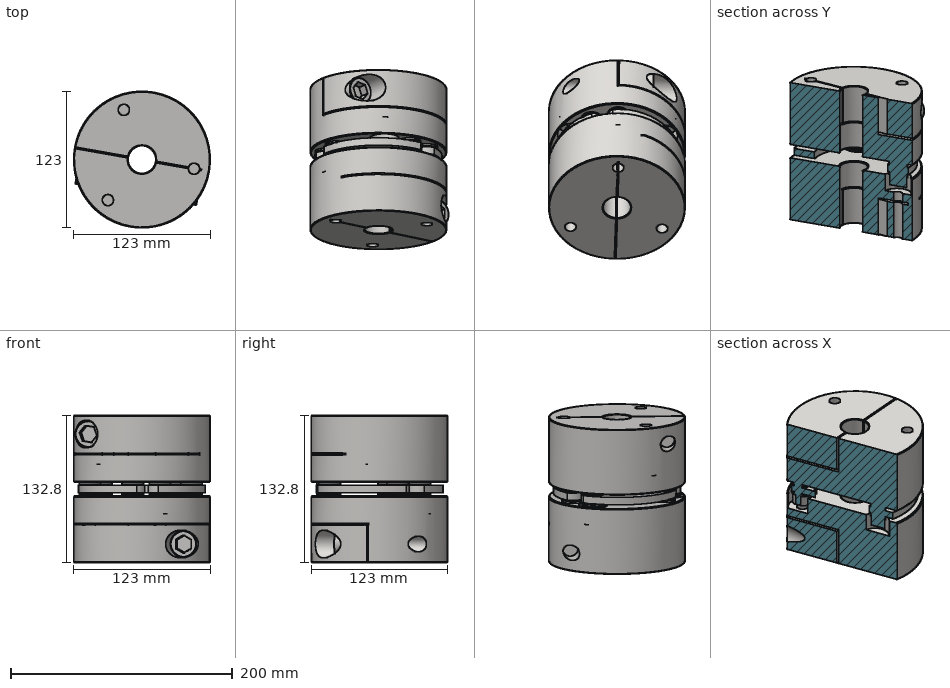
import cadquery as cq
import math

total_length = 132.8
hub_length = 60.1
hub_radius = 123.0 / 2
outer_end_chamfer = 0.7
inner_end_chamfer = 0.9
clocking = -10.0
mid_height = total_length / 2
hub_inner_face = total_length - hub_length

bore_radius = 12.5

bolt_circle = 47.7
bolt_count = 3
pitch = 360.0 / bolt_count
access_hole_radius = 5.0
head_pocket_radius = 12.9
head_pocket_depth = 15.9

slit_width = 1.5
radial_slit_end = 54.2
cross_slit_end = 56.7
cross_slit_depth = 34.8

screw_offset = 43.5
screw_depth = 16.9
screw_head_radius = 12.0
screw_head_face = 32.0
screw_head_seat = 15.9
screw_tip = 23.9
screw_head_chamfer = 0.5
screw_radius = 14.0 / 2
counterbore_radius = 12.5
socket_across_flats = 14.1
socket_depth = 9.3
upper_socket_turn = 20.0
lower_socket_turn = 0.0

link_thickness = 6.9
link_outer_radius = 57.3
link_end_radius = 10.8
link_inner_radius = bolt_circle - link_end_radius
link_span = 90.0
first_link_start = -60.0
collar_radius = 19.5 / 2
collar_height = (total_length - 2 * hub_length - link_thickness) / 2
collar_taper_height = 1.0
collar_taper = 0.4
bolt_head_radius = 9.0
bolt_head_depth = 10.0


def polar(radius, angle):
    """XY position at a radius and an angle in degrees."""
    return (radius * math.cos(math.radians(angle)), radius * math.sin(math.radians(angle)))


def cylinder(radius, bottom, top, position=(0, 0)):
    """Vertical cylinder between two heights."""
    return cq.Workplane("XY", origin=(*position, bottom)).circle(radius).extrude(top - bottom)


def block(x_range, y_range, z_range):
    """Axis-aligned block given by its three ranges."""
    ranges = (x_range, y_range, z_range)
    sizes = [high - low for low, high in ranges]
    corner = tuple(low for low, high in ranges)
    return cq.Workplane("XY").box(*sizes, centered=False).translate(corner)


def along_screw(start, end):
    """Workplane on the screw axis at y = start, and the signed depth that reaches y = end."""
    origin = (-screw_offset, start, total_length - screw_depth)
    return cq.Workplane("XZ", origin=origin), start - end


def screw_cylinder(radius, start, end):
    plane, depth = along_screw(start, end)
    return plane.circle(radius).extrude(depth)


def clamp_slits():
    """Radial slit down to the cross slit, which frees one half of the hub (y < 0)."""
    half = slit_width / 2
    cross_height = total_length - cross_slit_depth
    beyond = 2 * hub_radius
    radial = block((-beyond, radial_slit_end), (-half, half), (cross_height, total_length))
    cross = block((-beyond, cross_slit_end), (-beyond, half), (cross_height - half, cross_height + half))
    return radial.union(cross)


def clamp_screw(socket_turn):
    """Hexagon socket head screw."""
    head = screw_cylinder(screw_head_radius, -screw_head_seat, -screw_head_face)
    head = head.faces("<Y").edges().chamfer(screw_head_chamfer)
    shank = screw_cylinder(screw_radius, screw_tip, -screw_head_seat)
    plane, depth = along_screw(-screw_head_face, socket_depth - screw_head_face)
    corner_diameter = socket_across_flats / math.cos(math.pi / 6)
    vertex_up = 90.0
    plane = plane.transformed(rotate=(0, 0, vertex_up + socket_turn))
    socket = plane.polygon(6, corner_diameter).extrude(depth)
    return head.union(shank).cut(socket)


def hub(socket_turn):
    """Upper hub, with its radial slit open toward -X and its screw head toward -Y."""
    body = cylinder(hub_radius, hub_inner_face, total_length)
    body = body.cut(cylinder(bore_radius, hub_inner_face, total_length))
    body = body.faces(">Z").edges().chamfer(outer_end_chamfer)
    body = body.faces("<Z").edges().chamfer(inner_end_chamfer)

    for i in range(bolt_count):
        position = polar(bolt_circle, i * pitch)
        body = body.cut(cylinder(access_hole_radius, hub_inner_face, total_length, position))
        pocket_floor = hub_inner_face + head_pocket_depth
        body = body.cut(cylinder(head_pocket_radius, hub_inner_face, pocket_floor, position))

    body = body.cut(clamp_slits())
    body = body.cut(screw_cylinder(counterbore_radius, -screw_head_seat, -hub_radius))
    body = body.cut(screw_cylinder(screw_radius, hub_radius, -screw_head_seat))
    return body.union(clamp_screw(socket_turn))


def collar(position):
    """Upper collar between link and hub, tapered where it meets the link."""
    bottom = hub_inner_face - collar_height
    ring = cylinder(collar_radius, bottom, hub_inner_face, position)
    return ring.faces("<Z").chamfer(collar_taper_height, collar_taper)


def bolt_head(position):
    """Head of a bolt, hanging from a lower collar into a pocket of the lower hub."""
    return cylinder(bolt_head_radius, hub_length - bolt_head_depth, hub_length, position)


def link(start):
    """Curved link with rounded ends and collars at its two bolts, and a bolt head at its start."""
    bottom = mid_height - link_thickness / 2
    top = mid_height + link_thickness / 2
    end = start + link_span
    middle = start + link_span / 2
    sector = (
        cq.Workplane("XY", origin=(0, 0, bottom))
        .moveTo(*polar(link_inner_radius, start))
        .lineTo(*polar(link_outer_radius, start))
        .threePointArc(polar(link_outer_radius, middle), polar(link_outer_radius, end))
        .lineTo(*polar(link_inner_radius, end))
        .threePointArc(polar(link_inner_radius, middle), polar(link_inner_radius, start))
        .close()
        .extrude(top - bottom)
    )
    rim = cylinder(link_outer_radius, bottom, top)
    body = sector
    for angle in (start, end):
        position = polar(bolt_circle, angle)
        rounded_end = cylinder(link_end_radius, bottom, top, position).intersect(rim)
        upper_collar = collar(position)
        lower_collar = upper_collar.mirror("XY", (0, 0, mid_height))
        body = body.union(rounded_end).union(upper_collar).union(lower_collar)
    return body.union(bolt_head(polar(bolt_circle, start)))


upper_hub = hub(upper_socket_turn)
lower_hub = hub(lower_socket_turn).rotate((0, 0, mid_height), (0, 1, mid_height), 180)

coupling = upper_hub.union(lower_hub)
for i in range(bolt_count):
    coupling = coupling.union(link(first_link_start + i * pitch))

result = coupling.rotate((0, 0, 0), (0, 0, 1), clocking)